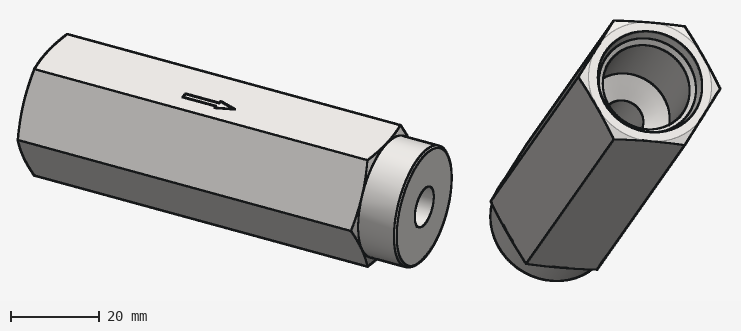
import cadquery as cq
import math

total_length = 95.25
hex_length = 85.7
across_flats = 28.6
across_corners = across_flats / math.cos(math.radians(30))
corner_chamfer_length = 0.7

boss_diameter = 28.5
boss_chamfer = 0.5

lip_diameter = 24.3
seat_diameter = 23.9
lip_depth = 0.3
seat_end_diameter = 22.6
seat_depth = 2.5
bore_diameter = 20.2
bore_depth = 22.9
through_diameter = 9.5
lead_in_angle = 45.0
bore_cone_angle = 59.0

arrow_tail_x = 35.8
arrow_neck_x = 44.3
arrow_tip_x = 48.7
arrow_center_y = -2.7
arrow_shaft_width = 1.5
arrow_head_width = 3.05
arrow_depth = 0.2


def cone_length(large_diameter, small_diameter, angle):
    """Axial length of a cone whose side leans by angle from the axis."""
    return (large_diameter - small_diameter) / 2 / math.tan(math.radians(angle))


def revolve_profile(points):
    """Solid of revolution about X from (x, radius) points, closed along the axis."""
    outline = [(points[0][0], 0), *points, (points[-1][0], 0)]
    return cq.Workplane("XY").polyline(outline).close().revolve(360, (0, 0), (1, 0))


def make_hex_body():
    """Hexagonal bar with flats facing +Z and -Z and its corners turned off at both ends."""
    bar = cq.Workplane("YZ").polygon(6, across_corners).extrude(hex_length)
    turned_blank = revolve_profile([
        (0, across_flats / 2),
        (corner_chamfer_length, across_corners / 2),
        (hex_length - corner_chamfer_length, across_corners / 2),
        (hex_length, across_flats / 2),
    ])
    return bar.intersect(turned_blank)


def make_boss():
    """Round boss beyond the hexagon, chamfered at its free end."""
    boss = cq.Workplane("YZ").workplane(offset=hex_length)
    boss = boss.circle(boss_diameter / 2).extrude(total_length - hex_length)
    return boss.faces(">X").chamfer(boss_chamfer)


def make_port():
    """Entry lip, tapered seat, lead-in, main bore and conical floor opening into the through hole."""
    bore_start = seat_depth + cone_length(seat_end_diameter, bore_diameter, lead_in_angle)
    cone_end = bore_depth + cone_length(bore_diameter, through_diameter, bore_cone_angle)
    return revolve_profile([
        (0, lip_diameter / 2),
        (lip_depth, seat_diameter / 2),
        (seat_depth, seat_end_diameter / 2),
        (bore_start, bore_diameter / 2),
        (bore_depth, bore_diameter / 2),
        (cone_end, through_diameter / 2),
        (total_length, through_diameter / 2),
    ])


def make_arrow():
    """Arrow pointing along +X, cut shallowly into the top flat."""
    upper_half = [
        (arrow_tail_x, arrow_shaft_width / 2),
        (arrow_neck_x, arrow_shaft_width / 2),
        (arrow_neck_x, arrow_head_width / 2),
    ]
    lower_half = [(x, -y) for x, y in reversed(upper_half)]
    outline = upper_half + [(arrow_tip_x, 0)] + lower_half
    plane = cq.Workplane("XY", origin=(0, arrow_center_y, across_flats / 2 - arrow_depth))
    return plane.polyline(outline).close().extrude(arrow_depth)


result = make_hex_body().union(make_boss()).cut(make_port()).cut(make_arrow())